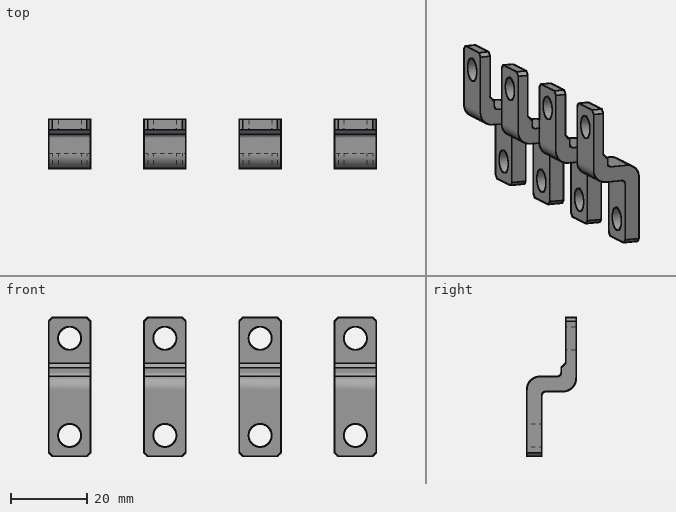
import cadquery as cq

strap_count = 4
strap_pitch = 25.0

width = 11.0
depth = 13.0
height = 36.5

upper_leg_thickness = 2.8
thickness = 4.0
web_top_drop = 15.5
ramp_top_drop = 12.0
outer_bend_radius = 3.5
inner_bend_radius = 1.0

corner_chamfer = 1.0
hole_diameter = 6.0
hole_end_distance = 5.5

front_y = -depth / 2
back_y = depth / 2
top_z = height / 2
bottom_z = -height / 2
web_top_z = top_z - web_top_drop
web_bottom_z = web_top_z - thickness
ramp_top_z = top_z - ramp_top_drop
ramp_size = thickness - upper_leg_thickness


def bent_profile():
    """Side outline in the YZ plane, with all four bends rounded."""
    root_y = back_y - thickness
    thin_y = back_y - upper_leg_thickness
    lower_leg_back_y = front_y + thickness
    outer = outer_bend_radius
    inner = inner_bend_radius
    return (
        cq.Workplane("YZ")
        .moveTo(back_y, top_z)
        .lineTo(thin_y, top_z)
        .lineTo(thin_y, ramp_top_z)
        .lineTo(root_y, ramp_top_z - ramp_size)
        .lineTo(root_y, web_top_z + inner)
        .radiusArc((root_y - inner, web_top_z), inner)
        .lineTo(front_y + outer, web_top_z)
        .radiusArc((front_y, web_top_z - outer), -outer)
        .lineTo(front_y, bottom_z)
        .lineTo(lower_leg_back_y, bottom_z)
        .lineTo(lower_leg_back_y, web_bottom_z - inner)
        .radiusArc((lower_leg_back_y + inner, web_bottom_z), inner)
        .lineTo(back_y - outer, web_bottom_z)
        .radiusArc((back_y, web_bottom_z + outer), -outer)
        .close()
    )


def make_strap():
    """One strap, centred on X = 0."""
    body = bent_profile().extrude(width / 2, both=True)
    end_corners = body.faces("<Z or >Z").edges("|Y")
    body = end_corners.chamfer(corner_chamfer)

    hole_offset = height / 2 - hole_end_distance
    holes = (
        cq.Workplane("XZ")
        .pushPoints([(0, hole_offset), (0, -hole_offset)])
        .circle(hole_diameter / 2)
        .extrude(depth, both=True)
    )
    return body.cut(holes)


strap = make_strap()
first_strap_x = -strap_pitch * (strap_count - 1) / 2
straps = []
for index in range(strap_count):
    strap_x = first_strap_x + index * strap_pitch
    straps.append(strap.translate((strap_x, 0, 0)).val())

result = cq.Compound.makeCompound(straps)